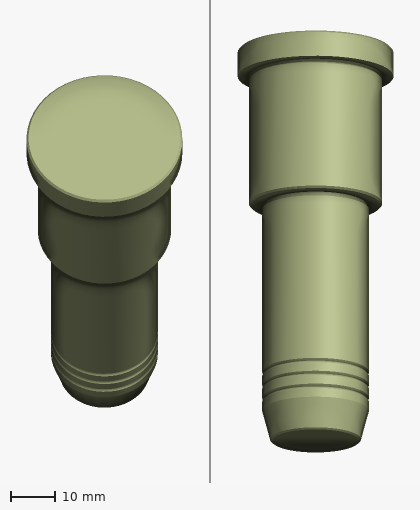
import cadquery as cq
import math

total_length = 91.0
head_diameter = 35.0
head_height = 6.0
head_chamfer = 0.5
body_diameter = 30.0
body_end_depth = 36.0
body_chamfer = 0.5
shank_diameter = 24.0

head_relief_width = 1.0
head_relief_depth = 0.5

neck_length = 1.0
neck_depth = 0.5

groove_count = 3
groove_pitch = 3.0
groove_width = 1.0
groove_depth = 0.5
lowest_groove_height = 9.6

tip_length = 7.0
tip_angle = 15.0
tip_chamfer = 0.4

head_radius = head_diameter / 2
body_radius = body_diameter / 2
shank_radius = shank_diameter / 2
tip_radius = shank_radius - tip_length * math.tan(math.radians(tip_angle))
head_bottom = total_length - head_height
body_bottom = total_length - body_end_depth


def cylinder(radius, bottom, top):
    """Solid cylinder on the Z axis between two heights."""
    return cq.Workplane("XY").workplane(offset=bottom).circle(radius).extrude(top - bottom)


def v_ring(radius, center_height, width, depth):
    """Ring-shaped cutter for a V groove in a cylinder of the given radius."""
    return (
        cq.Workplane("XZ")
        .moveTo(radius, center_height - width / 2)
        .lineTo(radius - depth, center_height)
        .lineTo(radius, center_height + width / 2)
        .close()
        .revolve(360, (0, 0, 0), (0, 1, 0))
    )


head = cylinder(head_radius, head_bottom, total_length).faces(">Z").chamfer(head_chamfer)

body = cylinder(body_radius, body_bottom, head_bottom).faces("<Z").chamfer(body_chamfer)
relief_center = head_bottom - head_relief_width / 2
body = body.cut(v_ring(body_radius, relief_center, head_relief_width, head_relief_depth))

neck_bottom = body_bottom - neck_length
neck = cylinder(shank_radius - neck_depth, neck_bottom, body_bottom)
shank = cylinder(shank_radius, tip_length, neck_bottom)
for index in range(groove_count):
    groove_height = lowest_groove_height + index * groove_pitch
    shank = shank.cut(v_ring(shank_radius, groove_height, groove_width, groove_depth))

tip = (
    cq.Workplane("XY")
    .add(cq.Solid.makeCone(tip_radius, shank_radius, tip_length))
    .faces("<Z")
    .chamfer(tip_chamfer)
)

result = head.union(body).union(neck).union(shank).union(tip)